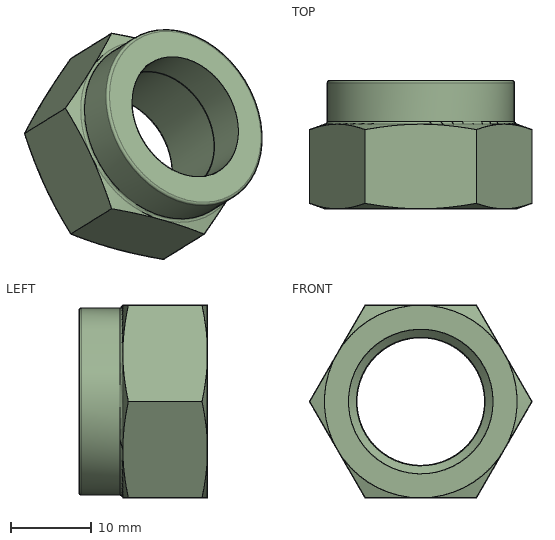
import cadquery as cq
import math

across_corners = 27.7
corner_radius = across_corners / 2
flat_radius = corner_radius * math.cos(math.radians(30))
chamfer_angle = 20.0
chamfer_depth = (corner_radius - flat_radius) * math.tan(math.radians(chamfer_angle))
hex_length = 10.53

total_length = 16.0
collar_radius = 11.67
collar_edge_radius = 0.33
collar_root_radius = flat_radius - collar_radius
collar_root_end = hex_length + collar_root_radius

bore_radius = 8.0
back_bore_radius = 7.95
entry_radius = 9.0
entry_depth = 1.03
bore_step_position = hex_length


def revolve_about_y(points):
    """Revolve a closed (radius, Y) outline about the nut axis."""
    outline = cq.Workplane("XY").polyline(points).close()
    return outline.revolve(360, (0, 0, 0), (0, 1, 0))


hexagon = cq.Workplane("XZ").polygon(6, across_corners).extrude(-hex_length)

corner_envelope = revolve_about_y([
    (0, 0),
    (flat_radius, 0),
    (corner_radius, chamfer_depth),
    (corner_radius, hex_length - chamfer_depth),
    (flat_radius, hex_length),
    (0, hex_length),
])
body = hexagon.intersect(corner_envelope)

diagonal = math.sqrt(0.5)
root_midpoint = (
    flat_radius - collar_root_radius * diagonal,
    collar_root_end - collar_root_radius * diagonal,
)
rim_midpoint = (
    collar_radius - collar_edge_radius * (1 - diagonal),
    total_length - collar_edge_radius * (1 - diagonal),
)
collar = (
    cq.Workplane("XY")
    .moveTo(0, hex_length)
    .lineTo(flat_radius, hex_length)
    .threePointArc(root_midpoint, (collar_radius, collar_root_end))
    .lineTo(collar_radius, total_length - collar_edge_radius)
    .threePointArc(rim_midpoint, (collar_radius - collar_edge_radius, total_length))
    .lineTo(0, total_length)
    .close()
    .revolve(360, (0, 0, 0), (0, 1, 0))
)

bore = revolve_about_y([
    (0, 0),
    (entry_radius, 0),
    (bore_radius, entry_depth),
    (bore_radius, bore_step_position),
    (back_bore_radius, bore_step_position),
    (back_bore_radius, total_length),
    (0, total_length),
])

result = body.union(collar).cut(bore)